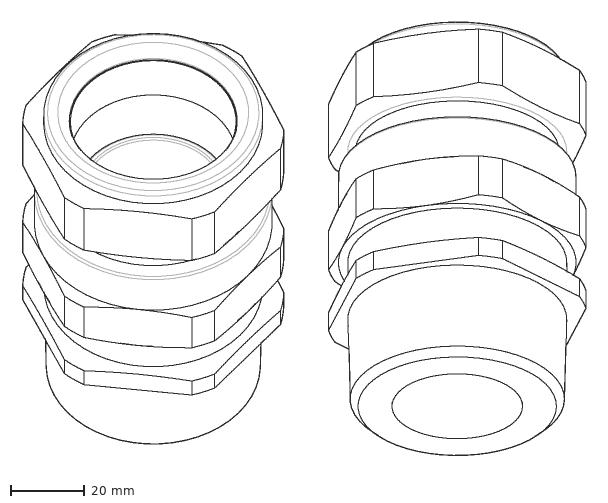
import cadquery as cq
import math


ACROSS_FLATS = 65.0
HALF_CORNER_ANGLE = 30
SHARP_CORNER_DIAMETER = ACROSS_FLATS / math.cos(math.radians(HALF_CORNER_ANGLE))
CORNER_R = 35.74

THREAD_CHAMFER = 2.2
ENTRY_HEX_BOTTOM = 27.3
ENTRY_HEX_TOP = 34.2
ENTRY_TOP = 45.3
BODY_HEX_TOP = 59.9
BODY_DRUM_TOP = 72.8
SEAT_TOP = 73.0
NUT_BOTTOM = 80.2
NECK_TOP = 86.8
NUT_HEX_TOP = 100.2
NUT_TOP = 104.4

COLLAR_R = 30.0
THREAD_FOOT_R = 29.3
DRUM_R = ACROSS_FLATS / 2
NECK_R = 27.9

MOUTH_R = 26.1
MOUTH_ROUND = 3.1
LIP_R = MOUTH_R - MOUTH_ROUND
LIP_DEPTH = 3.7
BORE_R = 22.6
SEAT_TOP_R = 21.0
ENTRY_BORE_TOP_R = 19.0
ENTRY_BORE_FOOT_R = 17.8

RIM_ROUND = 1.0
DRUM_ROUND = 0.6
SEAT_ROUND = 0.5
NUT_CHAMFER_ANGLE = 15.0
BODY_CHAMFER_ANGLE = 20.0
ENTRY_CHAMFER_ANGLE = 12.0


def cone_drop(inner_r, angle):
    """Height lost by a conical hexagon end between inner_r and the corners."""
    return (CORNER_R - inner_r) * math.tan(math.radians(angle))


def turned(radius_height_points):
    """Solid of revolution about Z from a closed (radius, z) outline."""
    return cq.Workplane("XZ").polyline(radius_height_points).close().revolve(360, (0, 0), (0, 1))


def cylinder(radius, bottom, top):
    return cq.Workplane("XY").workplane(offset=bottom).circle(radius).extrude(top - bottom)


def chamfered_hexagon(bottom, top, end_r, angle, chamfer_bottom=True):
    """Hexagon with corners turned to CORNER_R and conical chamfers running outward from end_r."""
    prism = (
        cq.Workplane("XY").workplane(offset=bottom)
        .transformed(rotate=(0, 0, HALF_CORNER_ANGLE))
        .polygon(6, SHARP_CORNER_DIAMETER).extrude(top - bottom)
    )
    drop = cone_drop(end_r, angle)
    foot = [(end_r, bottom), (CORNER_R, bottom + drop)] if chamfer_bottom else [(CORNER_R, bottom)]
    envelope = turned([
        (0, bottom),
        *foot,
        (CORNER_R, top - drop),
        (end_r, top),
        (0, top),
    ])
    return prism.intersect(envelope)


def make_entry():
    """Lower body: tapered thread, thin hexagon, collar and the conical seat above it."""
    thread = turned([
        (0, 0),
        (THREAD_FOOT_R - THREAD_CHAMFER, 0),
        (THREAD_FOOT_R, THREAD_CHAMFER),
        (COLLAR_R, ENTRY_HEX_BOTTOM),
        (0, ENTRY_HEX_BOTTOM),
    ])
    hex_flange = chamfered_hexagon(
        ENTRY_HEX_BOTTOM, ENTRY_HEX_TOP, COLLAR_R, ENTRY_CHAMFER_ANGLE, chamfer_bottom=False
    )
    collar = cylinder(COLLAR_R, ENTRY_HEX_BOTTOM, ENTRY_TOP)
    seat = turned([
        (0, ENTRY_TOP),
        (BORE_R, ENTRY_TOP),
        (SEAT_TOP_R, SEAT_TOP),
        (0, SEAT_TOP),
    ])
    bore = turned([
        (0, 0),
        (ENTRY_BORE_FOOT_R, 0),
        (ENTRY_BORE_TOP_R, SEAT_TOP),
        (0, SEAT_TOP),
    ])
    entry_body = thread.union(hex_flange).union(collar).union(seat).cut(bore)
    return entry_body.faces(">Z").edges().fillet(SEAT_ROUND)


def make_gland_body():
    """Middle body: hexagon, round drum and the neck that enters the cap nut."""
    hex_part = chamfered_hexagon(ENTRY_TOP, BODY_HEX_TOP, DRUM_R, BODY_CHAMFER_ANGLE)
    drum = cylinder(DRUM_R, BODY_HEX_TOP, BODY_DRUM_TOP).faces(">Z").edges().fillet(DRUM_ROUND)
    neck = cylinder(NECK_R, BODY_HEX_TOP, NECK_TOP)
    bore = cylinder(BORE_R, ENTRY_TOP, NECK_TOP)
    return hex_part.union(drum).union(neck).cut(bore)


def make_cap_nut():
    """Upper body: hexagon nut with a round rim and a rounded mouth."""
    hex_part = chamfered_hexagon(NUT_BOTTOM, NUT_HEX_TOP, COLLAR_R, NUT_CHAMFER_ANGLE)
    rim = cylinder(COLLAR_R, NUT_BOTTOM, NUT_TOP).faces(">Z").edges().fillet(RIM_ROUND)
    neck_socket = cylinder(NECK_R, NUT_BOTTOM, NECK_TOP)
    ledge = NUT_TOP - LIP_DEPTH
    arc_shift = MOUTH_ROUND * math.sqrt(0.5)
    mouth = (
        cq.Workplane("XZ")
        .moveTo(0, NECK_TOP)
        .lineTo(BORE_R, NECK_TOP)
        .lineTo(BORE_R, ledge)
        .lineTo(LIP_R, ledge)
        .lineTo(LIP_R, NUT_TOP - MOUTH_ROUND)
        .threePointArc(
            (MOUTH_R - arc_shift, NUT_TOP - MOUTH_ROUND + arc_shift),
            (MOUTH_R, NUT_TOP),
        )
        .lineTo(0, NUT_TOP)
        .close()
        .revolve(360, (0, 0), (0, 1))
    )
    return hex_part.union(rim).cut(neck_socket).cut(mouth)


entry = make_entry()
gland_body = make_gland_body()
cap_nut = make_cap_nut()

result = cq.Compound.makeCompound([entry.val(), gland_body.val(), cap_nut.val()])